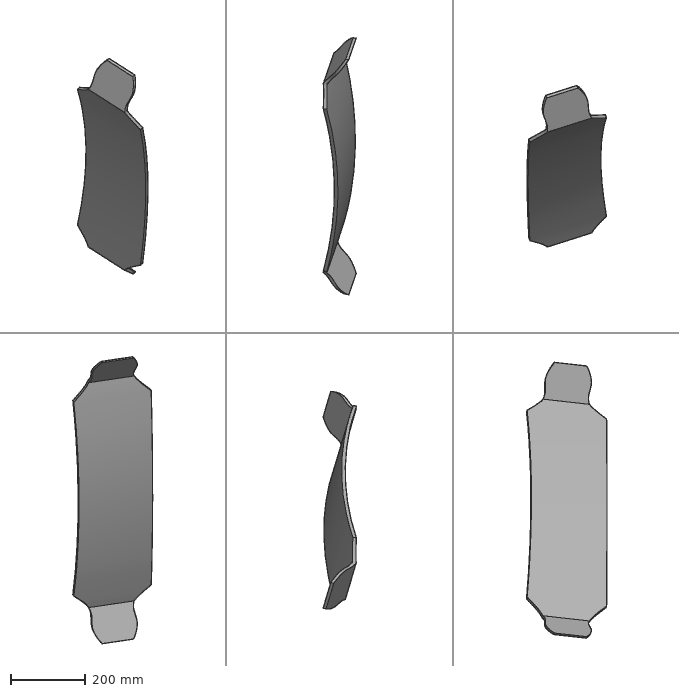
import cadquery as cq

length = 852.0
max_width = 219.0
depth = 66.5
thickness = 10.0

half_length = length / 2
bend_y = -depth / 2
bend_z = 342.5
camber = 40.0
tip_thickness = 8.5
inner_bend_drop = 2.0

waist_x = 104.0
corner_x = max_width / 2
corner_z = 294.0
shoulder_x, shoulder_z = 84.0, 317.0
neck_x, neck_z = 60.0, 356.0
bulge_x, bulge_z = 63.0, 388.0
tip_round_x, tip_round_z = 58.0, 405.5
tip_x = 44.0


def bent_plate():
    """Arched deck with a straight kicked-back tail at each end, as wide as the board."""
    front_y = bend_y
    back_y = bend_y + thickness
    tip_back_y = depth / 2
    tip_front_y = tip_back_y - tip_thickness
    inner_z = bend_z - inner_bend_drop
    return (
        cq.Workplane("YZ")
        .moveTo(front_y, -bend_z)
        .threePointArc((front_y + camber, 0), (front_y, bend_z))
        .lineTo(tip_front_y, half_length)
        .lineTo(tip_back_y, half_length)
        .lineTo(back_y, inner_z)
        .threePointArc((back_y + camber, 0), (back_y, -inner_z))
        .lineTo(tip_back_y, -half_length)
        .lineTo(tip_front_y, -half_length)
        .close()
        .extrude(corner_x, both=True)
    )


def board_outline():
    """Waisted deck with sloping shoulders, necks and rounded tails, cut along Y."""
    edge = [
        (tip_x, half_length),
        (tip_round_x, tip_round_z),
        (bulge_x, bulge_z),
        (neck_x, neck_z),
        (shoulder_x, shoulder_z),
        (corner_x, corner_z),
    ]
    lower_edge = [(x, -z) for x, z in reversed(edge)]
    right_half = (
        cq.Workplane("XZ")
        .moveTo(0, half_length)
        .lineTo(tip_x, half_length)
        .spline(edge[1:], includeCurrent=True)
        .threePointArc((waist_x, 0), (corner_x, -corner_z))
        .spline(lower_edge[1:], includeCurrent=True)
        .lineTo(0, -half_length)
        .close()
        .extrude(depth, both=True)
    )
    return right_half.union(right_half.mirror("YZ"))


result = bent_plate().intersect(board_outline())